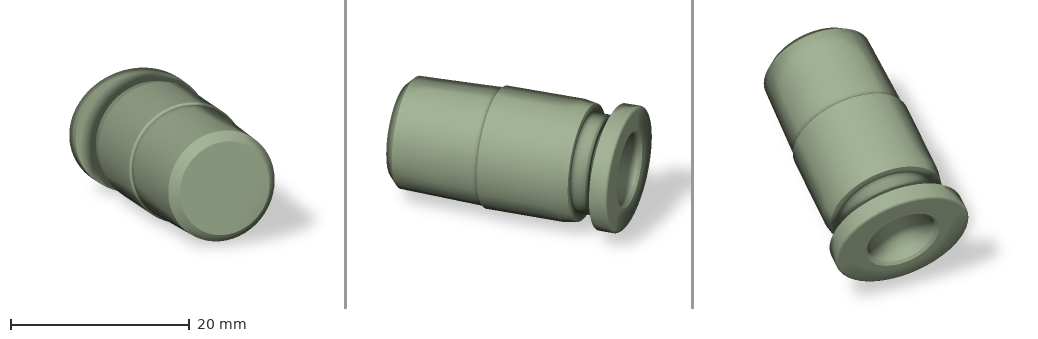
import cadquery as cq

total_length = 26.9
bore_diameter = 8.2

flange_width = 16.0
flange_height = 14.0
flange_thickness = 2.05
flange_edge_radius = 0.3
mouth_chamfer = 0.3
neck_diameter = 9.7
neck_fillet = 0.15
neck_length = 1.0
collar_diameter = 11.45
collar_chamfer = 0.25
button_length = 5.0

body_diameter = 14.0
body_length = 10.65
lead_in_diameter = 13.45
lead_in_length = 1.5
shoulder_chamfer = 0.25
taper_end_diameter = 12.85
end_chamfer = 1.0

collar_start = flange_thickness + neck_length
body_end = button_length + body_length
taper_start = body_end + shoulder_chamfer
end_chamfer_start = total_length - end_chamfer


def cylinder(start, end, diameter):
    """Round cylinder on the X axis, from X = start to X = end."""
    return cq.Workplane("YZ", origin=(start, 0, 0)).circle(diameter / 2).extrude(end - start)


def spin(outline):
    """Revolve a closed half outline, drawn in XY, about the X axis."""
    return outline.close().revolve(360, (0, 0, 0), (1, 0, 0))


def make_flange():
    """Oval plate with a rounded front edge."""
    plate = cq.Workplane("YZ").ellipse(flange_width / 2, flange_height / 2).extrude(flange_thickness)
    return plate.faces("<X").edges().fillet(flange_edge_radius)


def make_neck():
    """Round neck that flares into the back of the flange through a concave fillet."""
    neck_radius = neck_diameter / 2
    fillet_end = flange_thickness + neck_fillet
    return spin(
        cq.Workplane("XY")
        .moveTo(flange_thickness, 0)
        .lineTo(flange_thickness, neck_radius + neck_fillet)
        .radiusArc((fillet_end, neck_radius), -neck_fillet)
        .lineTo(collar_start, neck_radius)
        .lineTo(collar_start, 0)
    )


def make_collar():
    """Round collar with a chamfered front edge; its back rests on the housing."""
    return cylinder(collar_start, button_length, collar_diameter).faces("<X").edges().chamfer(collar_chamfer)


def make_button_bore():
    """Through bore of the button, with a chamfered mouth."""
    bore_radius = bore_diameter / 2
    return spin(
        cq.Workplane("XY")
        .moveTo(0, 0)
        .lineTo(0, bore_radius + mouth_chamfer)
        .lineTo(mouth_chamfer, bore_radius)
        .lineTo(button_length, bore_radius)
        .lineTo(button_length, 0)
    )


def make_button():
    return make_flange().union(make_neck()).union(make_collar()).cut(make_button_bore())


def make_housing():
    """Turned housing whose blind bore continues the button's bore to the end of the straight body."""
    taper_start_radius = body_diameter / 2 - shoulder_chamfer
    taper_end_radius = taper_end_diameter / 2
    outline = cq.Workplane("XY").polyline(
        [
            (button_length, 0),
            (button_length, lead_in_diameter / 2),
            (button_length + lead_in_length, body_diameter / 2),
            (body_end, body_diameter / 2),
            (taper_start, taper_start_radius),
            (end_chamfer_start, taper_end_radius),
            (total_length, taper_end_radius - end_chamfer),
            (total_length, 0),
        ]
    )
    return spin(outline).cut(cylinder(button_length, body_end, bore_diameter))


button = make_button()
housing = make_housing()
result = cq.Compound.makeCompound([button.val(), housing.val()])